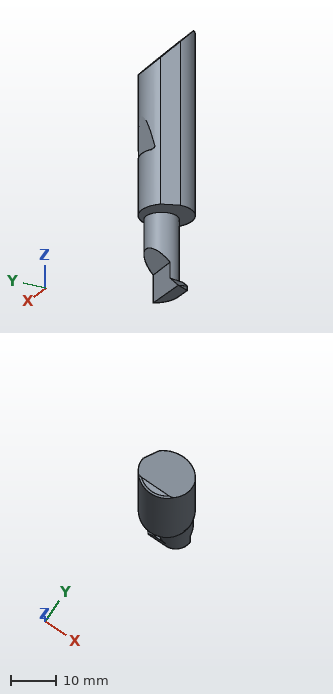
import cadquery as cq
import math


LENGTH = 63.5
SHANK_RADIUS = 6.35
SHOULDER_Z = 19.1
FLAT_EDGE_Y = 4.1
BEVEL_START_Y = -4.5
RIM_WIDTH = 0.5
RIM_HEIGHT = 0.25

NOTCH_BOTTOM_Z = 32.8
NOTCH_TOP_Z = 41.8
NOTCH_DEPTH = 1.4
NOTCH_CORNER_RADIUS = 0.65

NECK_RADIUS = 3.95
NECK_X = SHANK_RADIUS - NECK_RADIUS
RELIEF_Z = 7.2

TIP_X = -5.4
HEAD_HEIGHT = 3.55
HEAD_TOP_X = -1.3
HEAD_FRONT_Y = -NECK_RADIUS
FLANK_FRONT_X = -2.35
FLANK_SHIFT = 0.9
END_CLEARANCE = 10.0
END_SLOPE = 2.0

MARGIN = 3.2


def prism_along_x(points):
    """Extrude a Y-Z outline through the full width of the shank."""
    width = 2 * (SHANK_RADIUS + MARGIN)
    return cq.Workplane("YZ").polyline(points).close().extrude(width / 2, both=True)


def make_shank():
    shank = (
        cq.Workplane("XY", origin=(0, 0, SHOULDER_Z))
        .circle(SHANK_RADIUS)
        .extrude(LENGTH - SHOULDER_Z)
    )
    shank = shank.faces(">Z").edges().chamfer(RIM_HEIGHT, RIM_WIDTH)
    return shank.cut(side_flat()).cut(end_bevel()).cut(clamping_notch())


def side_flat():
    """Segment between the quadrant point (-R, 0) and the flat's back edge."""
    flat_edge_x = -math.sqrt(SHANK_RADIUS**2 - FLAT_EDGE_Y**2)
    outside = -SHANK_RADIUS - MARGIN
    points = [(-SHANK_RADIUS, 0), (flat_edge_x, FLAT_EDGE_Y), (outside, FLAT_EDGE_Y), (outside, 0)]
    return cq.Workplane("XY").polyline(points).close().extrude(LENGTH)


def end_bevel():
    back_y = SHANK_RADIUS + MARGIN
    drop = back_y - BEVEL_START_Y
    return prism_along_x([(BEVEL_START_Y, LENGTH), (back_y, LENGTH), (back_y, LENGTH - drop)])


def clamping_notch():
    floor_y = SHANK_RADIUS - NOTCH_DEPTH
    back_y = SHANK_RADIUS + MARGIN
    notch = prism_along_x([
        (floor_y, NOTCH_BOTTOM_Z),
        (back_y, NOTCH_BOTTOM_Z),
        (back_y, NOTCH_TOP_Z),
        (SHANK_RADIUS, NOTCH_TOP_Z),
    ])
    return notch.edges("|X").edges("<Y").fillet(NOTCH_CORNER_RADIUS)


def make_neck():
    neck = cq.Workplane("XY").center(NECK_X, 0).circle(NECK_RADIUS).extrude(SHOULDER_Z)
    back_y = NECK_RADIUS + MARGIN
    relief = prism_along_x([(0, -MARGIN), (0, RELIEF_Z), (back_y, RELIEF_Z + back_y), (back_y, -MARGIN)])
    return neck.cut(relief)


def make_head():
    """Head plan outline, trimmed by the slanted flank above the tip."""
    plan = (
        cq.Workplane("XY")
        .polyline([(TIP_X, 0), (FLANK_FRONT_X, HEAD_FRONT_Y), (NECK_X, HEAD_FRONT_Y), (NECK_X, 0)])
        .close()
        .extrude(HEAD_HEIGHT)
    )
    flank = (
        cq.Workplane("XZ")
        .polyline(flank_outline(0))
        .close()
        .workplane(offset=-HEAD_FRONT_Y)
        .polyline(flank_outline(FLANK_SHIFT))
        .close()
        .loft(ruled=True)
    )
    return plan.intersect(flank)


def flank_outline(shift):
    return [
        (TIP_X + shift, 0),
        (HEAD_TOP_X + shift, HEAD_HEIGHT),
        (SHANK_RADIUS, HEAD_HEIGHT),
        (SHANK_RADIUS, 0),
    ]


def end_clearance():
    """Block below the inclined end face, which passes through the tip."""
    rise_x = math.tan(math.radians(END_SLOPE))
    rise_y = -math.tan(math.radians(END_CLEARANCE))
    plane = cq.Plane(origin=(TIP_X, 0, 0), xDir=(1, 0, rise_x), normal=(-rise_x, -rise_y, 1))
    size = 4 * SHANK_RADIUS
    return cq.Workplane(plane).rect(size, size).extrude(-SHANK_RADIUS)


cutting_end = make_neck().union(make_head()).cut(end_clearance())
result = make_shank().union(cutting_end)